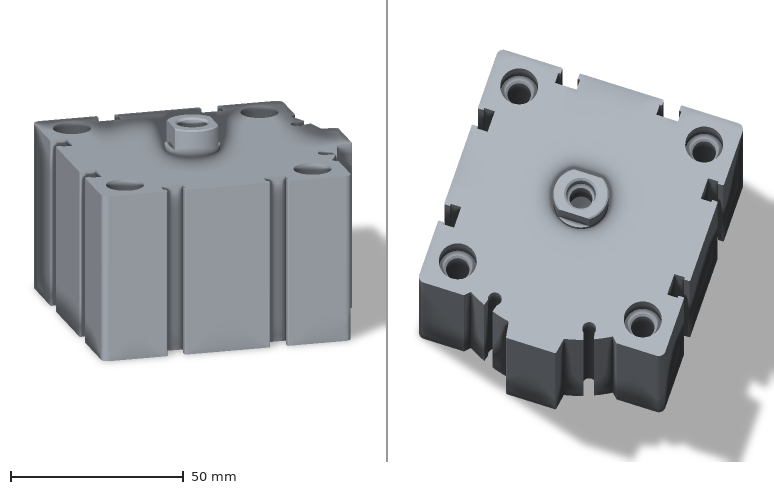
import cadquery as cq
import math

body_width = 75.0
half_width = body_width / 2
body_height = 50.0
corner_radius = 2.0

crown_radius = 41.9
relief_start_x = 23.25
rib_top_y = 46.0
rib_top_half_width = 7.6
rib_root_half_width = 8.4
rib_edge_radius = 0.4

keyhole_angle = 21.9
keyhole_centre_radius = 38.55
keyhole_diameter = 4.0
keyhole_neck_width = 3.1
keyhole_neck_angle = 16.0

slot_offset = 15.45
slot_mouth_width = 5.2
slot_lip_depth = 1.8
slot_inner_width = 6.6
slot_depth = 5.0
slot_lip_radius = 0.35

mount_pitch = 56.4
mount_bore_diameter = 6.8
mount_counterbore_diameter = 11.0
mount_counterbore_depth = 6.5
mount_countersink_diameter = 8.0

rod_diameter = 16.0
rod_top_z = 58.0
rod_seat_depth = 12.0
rod_chamfer = 0.4
flat_spacing = 13.0
flat_bottom_z = 51.5
thread_mouth_diameter = 9.8
thread_diameter = 8.57
thread_depth = 3.4
pilot_mouth_diameter = 8.4
pilot_diameter = 6.65
pilot_depth = 12.0
drill_point_angle = 118.0


def crown_y(x):
    """Height of the crown arc at x."""
    return math.sqrt(crown_radius**2 - x**2)


def body_outline():
    """Square outline with the crown and rib on its +Y side."""
    line_offset = half_width - relief_start_x
    relief_end_x = (math.sqrt(2 * crown_radius**2 - line_offset**2) - line_offset) / 2
    arc_middle_x = (relief_end_x + rib_root_half_width) / 2
    return (
        cq.Workplane("XY")
        .moveTo(-half_width, -half_width)
        .lineTo(half_width, -half_width)
        .lineTo(half_width, half_width)
        .lineTo(relief_start_x, half_width)
        .lineTo(relief_end_x, crown_y(relief_end_x))
        .threePointArc(
            (arc_middle_x, crown_y(arc_middle_x)),
            (rib_root_half_width, crown_y(rib_root_half_width)),
        )
        .lineTo(rib_top_half_width, rib_top_y)
        .lineTo(-rib_top_half_width, rib_top_y)
        .lineTo(-rib_root_half_width, crown_y(rib_root_half_width))
        .threePointArc(
            (-arc_middle_x, crown_y(arc_middle_x)),
            (-relief_end_x, crown_y(relief_end_x)),
        )
        .lineTo(-relief_start_x, half_width)
        .lineTo(-half_width, half_width)
        .close()
    )


def body_block():
    block = body_outline().extrude(body_height)
    block = block.edges("|Z").edges("<X or >X").fillet(corner_radius)
    return block.faces(">Y").edges("|Z").fillet(rib_edge_radius)


def t_slot(face_angle, offset):
    """T-slot cutter for the -Y face, turned about Z to face_angle."""
    mouth_half = slot_mouth_width / 2
    inner_half = slot_inner_width / 2
    flare_half = mouth_half + slot_lip_radius
    return (
        cq.Workplane("XY")
        .moveTo(-flare_half, 0)
        .radiusArc((-mouth_half, slot_lip_radius), -slot_lip_radius)
        .lineTo(-mouth_half, slot_lip_depth)
        .lineTo(-inner_half, slot_lip_depth)
        .lineTo(-inner_half, slot_depth)
        .lineTo(inner_half, slot_depth)
        .lineTo(inner_half, slot_lip_depth)
        .lineTo(mouth_half, slot_lip_depth)
        .lineTo(mouth_half, slot_lip_radius)
        .radiusArc((flare_half, 0), -slot_lip_radius)
        .close()
        .extrude(body_height)
        .translate((offset, -half_width, 0))
        .rotate((0, 0, 0), (0, 0, 1), face_angle)
    )


def keyhole(side):
    """Round channel with a narrower, leaning neck; side is -1 for -X and 1 for +X."""
    centre_angle = math.radians(keyhole_angle)
    centre_x = side * keyhole_centre_radius * math.sin(centre_angle)
    centre_y = keyhole_centre_radius * math.cos(centre_angle)
    neck_length = 2 * (crown_radius - keyhole_centre_radius)
    channel = cq.Workplane("XY").circle(keyhole_diameter / 2).extrude(body_height)
    neck = cq.Workplane("XY").box(keyhole_neck_width, neck_length, body_height, centered=(True, False, False))
    neck = neck.rotate((0, 0, 0), (0, 0, 1), -side * keyhole_neck_angle)
    return channel.union(neck).translate((centre_x, centre_y, 0))


def mount_hole(x, y):
    """Through bore, countersunk at the floor of its counterbore."""
    bore_r = mount_bore_diameter / 2
    sink_r = mount_countersink_diameter / 2
    bore_top = body_height - mount_counterbore_depth
    counterbore_r = mount_counterbore_diameter / 2
    return (
        cq.Workplane("XZ")
        .moveTo(0, 0)
        .lineTo(bore_r, 0)
        .lineTo(bore_r, bore_top - (sink_r - bore_r))
        .lineTo(sink_r, bore_top)
        .lineTo(counterbore_r, bore_top)
        .lineTo(counterbore_r, body_height)
        .lineTo(0, body_height)
        .close()
        .revolve(360, (0, 0, 0), (0, 1, 0))
        .translate((x, y, 0))
    )


def rod_blank():
    return (
        cq.Workplane("XY", origin=(0, 0, body_height - rod_seat_depth))
        .circle(rod_diameter / 2)
        .extrude(rod_top_z - body_height + rod_seat_depth)
    )


def make_body():
    body = body_block()
    for face_angle in (-90, 0, 90):
        for side in (-1, 1):
            body = body.cut(t_slot(face_angle, side * slot_offset))
    for side in (-1, 1):
        body = body.cut(keyhole(side))
    for x_side in (-1, 1):
        for y_side in (-1, 1):
            body = body.cut(mount_hole(x_side * mount_pitch / 2, y_side * mount_pitch / 2))
    return body.cut(rod_blank())


def thread_hole():
    """Blind hole in the rod end: chamfered mouth, wide entry, countersunk pilot, drill point."""
    mouth_r = thread_mouth_diameter / 2
    entry_r = thread_diameter / 2
    pilot_r = pilot_diameter / 2
    pilot_mouth_r = pilot_mouth_diameter / 2
    pilot_floor = rod_top_z - pilot_depth
    point_depth = pilot_r / math.tan(math.radians(drill_point_angle / 2))
    return (
        cq.Workplane("XZ")
        .moveTo(0, rod_top_z)
        .lineTo(mouth_r, rod_top_z)
        .lineTo(entry_r, rod_top_z - (mouth_r - entry_r))
        .lineTo(entry_r, rod_top_z - thread_depth)
        .lineTo(pilot_mouth_r, rod_top_z - thread_depth)
        .lineTo(pilot_r, rod_top_z - thread_depth - (pilot_mouth_r - pilot_r))
        .lineTo(pilot_r, pilot_floor)
        .lineTo(0, pilot_floor - point_depth)
        .close()
        .revolve(360, (0, 0, 0), (0, 1, 0))
    )


def make_rod():
    rod = rod_blank().faces(">Z").chamfer(rod_chamfer)
    for side in (-1, 1):
        flat = (
            cq.Workplane("XY", origin=(0, side * flat_spacing, flat_bottom_z))
            .rect(rod_diameter, flat_spacing)
            .extrude(rod_top_z - flat_bottom_z)
        )
        rod = rod.cut(flat)
    return rod.cut(thread_hole())


body = make_body()
rod = make_rod()
result = cq.Compound.makeCompound([body.val(), rod.val()])